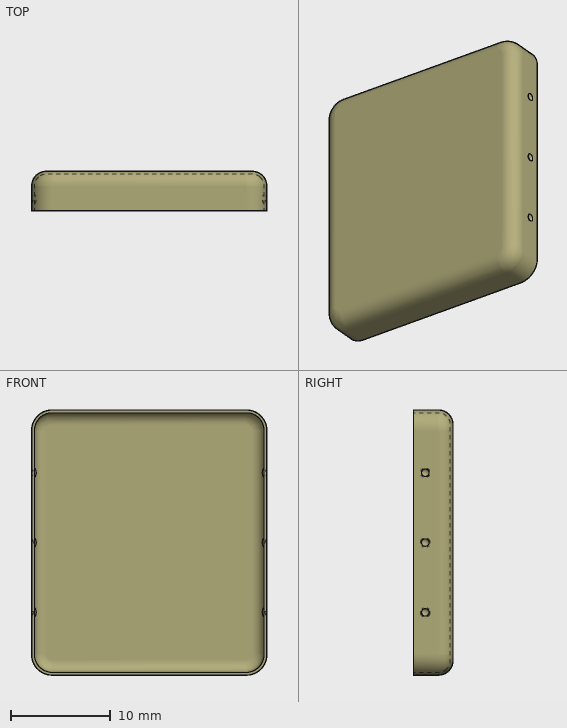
import cadquery as cq
import math

width = 23.6
depth = 4.0
height = 26.6
wall = 0.3
corner_radius = 2.07
floor_edge_radius = 1.5

dent_radius = 0.37
bump_radius = 0.48
dimple_depth = 0.19
dimple_pitch = 7.0
dimple_from_rim = 1.2

rim_y = -depth / 2
dimple_y = rim_y + dimple_from_rim


def rounded_block(inset):
    """Block inset from the outer tray surface on all faces except the open rim."""
    return (
        cq.Workplane("XZ", origin=(0, rim_y, 0))
        .rect(width - 2 * inset, height - 2 * inset)
        .extrude(-(depth - inset))
        .edges("|Y")
        .fillet(corner_radius - inset)
        .faces(">Y")
        .edges()
        .fillet(floor_edge_radius - inset)
    )


def dimple_cap(wall_x, z, side, base_radius):
    """Spherical cap with its base on the plane x = wall_x, bulging into the tray."""
    sphere_radius = (base_radius**2 + dimple_depth**2) / (2 * dimple_depth)
    half_angle = math.asin(base_radius / sphere_radius)
    tip_x = wall_x - side * dimple_depth
    sphere_x = tip_x + side * sphere_radius
    arc_middle = (sphere_x - side * sphere_radius * math.cos(half_angle / 2),
                  sphere_radius * math.sin(half_angle / 2))
    return (
        cq.Workplane("XY", origin=(0, dimple_y, z))
        .moveTo(wall_x, 0)
        .lineTo(wall_x, base_radius)
        .threePointArc(arc_middle, (tip_x, 0))
        .close()
        .revolve(360, (0, 0), (1, 0))
    )


tray = rounded_block(0).cut(rounded_block(wall))

for side in (-1, 1):
    outer_x = side * width / 2
    inner_x = outer_x - side * wall
    for row in (-1, 0, 1):
        z = row * dimple_pitch
        tray = tray.union(dimple_cap(inner_x, z, side, bump_radius))
        tray = tray.cut(dimple_cap(outer_x, z, side, dent_radius))

result = tray